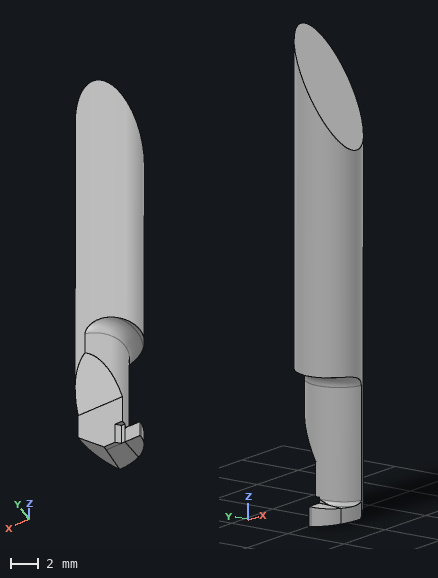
import cadquery as cq
import math

length = 36.58
diameter = 5.0
radius = diameter / 2
bevel_angle = 60.0
bevel_drop = diameter * math.tan(math.radians(bevel_angle))

neck_radius = 2.5
neck_offset = 1.25
neck_left = neck_offset - neck_radius
neck_edge_x = (radius**2 - neck_radius**2 + neck_offset**2) / (2 * neck_offset)
neck_edge_y = -math.sqrt(radius**2 - neck_edge_x**2)
neck_top = 11.2
neck_top_fillet = 1.0
neck_foot_fillet = 0.3

flat_y = 0.3
flat_top = 4.5
flat_runout = (radius - flat_y) * math.tan(math.radians(bevel_angle))

head_height = 1.5
top_relief = 3.0
bottom_relief = 6.0
end_chamfer = 2.2
joint_y = -2.0
heel_bulge = 0.1
tip_middle_radius = 2.45
tip_middle_angle = 217.0
rake_y = -0.05
rake_end_x = -0.95
rake_top = 1.9
margin_y = -0.22

reach = 2 * diameter
relief_run = reach - rake_y
head_back_top = head_height - relief_run * math.tan(math.radians(top_relief))
head_back_bottom = relief_run * math.tan(math.radians(bottom_relief))


def box(x_min, x_max, y_min, y_max, z_min, z_max):
    size = (x_max - x_min, y_max - y_min, z_max - z_min)
    return cq.Workplane("XY").box(*size, centered=False).translate((x_min, y_min, z_min))


def side_prism(points):
    """Prism along X from an outline given in Y and Z."""
    return cq.Workplane("YZ").polyline(points).close().extrude(reach, both=True)


def head_envelope():
    """Space between the relieved top and bottom faces of the head."""
    return side_prism([
        (rake_y, 0),
        (rake_y, head_height),
        (-reach, head_back_top),
        (-reach, head_back_bottom),
    ])


def below_head_top():
    rise = reach * math.tan(math.radians(top_relief))
    return side_prism([
        (-reach, -reach),
        (-reach, head_back_top),
        (reach, head_height + rise),
        (reach, -reach),
    ])


def neck_cutter():
    """Space around the neck, rounded where it meets the shank and the head."""
    cutter = box(-reach, reach, -reach, reach, 0, neck_top).cut(below_head_top())
    core = cq.Workplane("XY").center(neck_offset, 0).circle(neck_radius).extrude(length)
    cutter = cutter.cut(core)
    cutter = cutter.edges("%CIRCLE").fillet(neck_top_fillet)
    return cutter.edges("%ELLIPSE").fillet(neck_foot_fillet)


def flat_cutter():
    runout_y = flat_y + 2 * (radius - flat_y)
    return side_prism([
        (flat_y, -reach),
        (flat_y, flat_top),
        (runout_y, flat_top + 2 * flat_runout),
        (runout_y, -reach),
    ])


def rake_cutter():
    """Recess in the flat above the rake face, with a 45 degree end."""
    depth = flat_y - rake_y
    return (
        cq.Workplane("XY")
        .polyline([
            (-radius, rake_y),
            (rake_end_x, rake_y),
            (rake_end_x + depth, flat_y),
            (-radius, flat_y),
        ])
        .close()
        .extrude(rake_top)
    )


def side_relief_cutter():
    """Sliver between the shank's round side and the relieved side of the head."""
    return (
        cq.Workplane("XY")
        .moveTo(neck_left, joint_y)
        .sagittaArc((neck_edge_x, neck_edge_y), -heel_bulge)
        .lineTo(neck_edge_x, -reach)
        .lineTo(neck_left, -reach)
        .close()
        .extrude(head_height)
    )


def make_shank():
    body = cq.Workplane("XY").circle(radius).extrude(length)
    body = body.cut(side_prism([
        (radius, length),
        (-radius, length - bevel_drop),
        (-radius, length),
    ]))
    body = body.cut(neck_cutter())
    body = body.cut(flat_cutter())
    body = body.cut(rake_cutter())
    body = body.cut(box(-reach, neck_left, -reach, reach, 0, rake_top))
    body = body.cut(side_relief_cutter())
    chamfer_cutter = (
        cq.Workplane("XZ")
        .polyline([(radius - end_chamfer, 0), (radius, end_chamfer), (radius, 0)])
        .close()
        .extrude(reach, both=True)
    )
    body = body.cut(chamfer_cutter)
    below_head = side_prism([(rake_y, 0), (-reach, head_back_bottom), (-reach, 0)])
    return body.cut(below_head)


def make_tip():
    angle = math.radians(tip_middle_angle)
    middle = (tip_middle_radius * math.cos(angle), tip_middle_radius * math.sin(angle))
    outline = (
        cq.Workplane("XY")
        .moveTo(neck_left, rake_y)
        .lineTo(-radius, rake_y)
        .lineTo(-radius, margin_y)
        .threePointArc(middle, (neck_left, joint_y))
        .close()
        .extrude(head_height)
    )
    return outline.intersect(head_envelope())


shank = make_shank()
tip = make_tip()
result = cq.Compound.makeCompound([shank.val(), tip.val()])